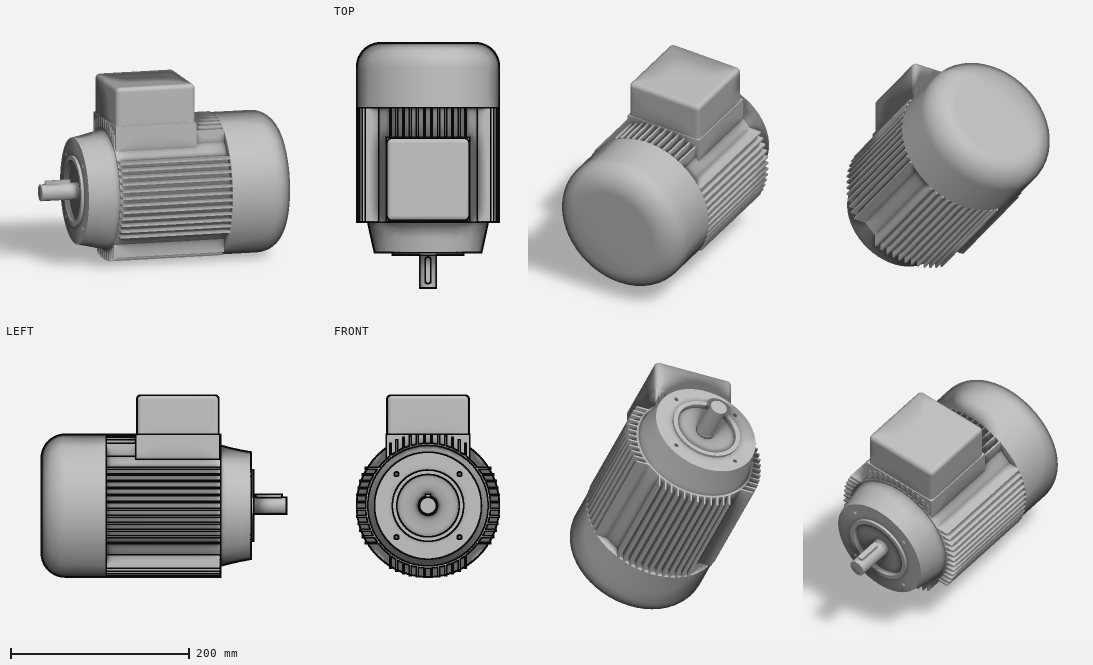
import cadquery as cq
import math


flange_radius = 60.0
bell_rear_radius = 67.5
bell_length = 34.0
bolt_count = 4
bolt_start_angle = 45.0
bolt_circle_radius = 50.0
bolt_hole_diameter = 5.0
bolt_hole_depth = 10.0

spigot_radius = 40.0
spigot_bore_radius = 35.0
spigot_height = 3.0
spigot_bore_depth = 6.0

shaft_radius = 9.5
shaft_length = 40.0
collar_radius = 10.0
collar_height = 3.0
clearance_radius = 10.75
clearance_depth = 5.0
key_width = 6.0
key_length = 30.0
key_tip_margin = 5.0
key_top = 13.0

core_radius = 70.0
body_length = 128.0
fin_tip_radius = 80.0
fin_thickness = 2.0
fin_pitch_angle = math.radians(5.75)
fins_per_half = 6

cowl_radius = fin_tip_radius
cowl_length = 73.0
cowl_round = 27.0

plinth_size = 94.0
plinth_setback = 1.0
plinth_top = fin_tip_radius
box_size = 92.0
box_height = 44.0
box_round = 5.0

body_front = bell_length
body_rear = body_front + body_length
cowl_rear = body_rear + cowl_length
box_center_y = body_front + plinth_setback + plinth_size / 2
recess_floor = spigot_bore_depth - spigot_height
shaft_root = recess_floor + clearance_depth


def cylinder(radius, y_start, y_end):
    """Cylinder on the motor axis between two Y stations."""
    return cq.Workplane("XZ", origin=(0, y_start, 0)).circle(radius).extrude(y_start - y_end)


def end_bell():
    """Conical bell widening from the flange to the body."""
    return (
        cq.Workplane("XY")
        .lineTo(flange_radius, 0)
        .lineTo(bell_rear_radius, bell_length)
        .lineTo(0, bell_length)
        .close()
        .revolve(360, (0, 0, 0), (0, 1, 0))
    )


def flange_face(bell):
    """Add the spigot ring, then cut its bore, the shaft clearance and the bolt holes."""
    face = bell.union(cylinder(spigot_radius, -spigot_height, 0))
    face = face.cut(cylinder(spigot_bore_radius, -spigot_height, recess_floor))
    face = face.cut(cylinder(clearance_radius, recess_floor, shaft_root))
    holes = (
        cq.Workplane("XZ")
        .polarArray(bolt_circle_radius, bolt_start_angle, 360, bolt_count)
        .circle(bolt_hole_diameter / 2)
        .extrude(-bolt_hole_depth)
    )
    return face.cut(holes)


def shaft():
    """Shaft stepped up to a collar in the spigot bore, and a round-ended key on top."""
    key_center_y = -shaft_length + key_tip_margin + key_length / 2
    key = (
        cq.Workplane("XY", origin=(0, key_center_y, 0))
        .slot2D(key_length, key_width, 90)
        .extrude(key_top)
    )
    collar = cylinder(collar_radius, recess_floor - collar_height, shaft_root)
    return cylinder(shaft_radius, -shaft_length, shaft_root).union(collar).union(key)


def fin_slabs():
    """Parallel slabs running up and down through the body; both ends of each slab are fins."""
    slabs = cq.Workplane("XY")
    for index in range(fins_per_half):
        offset = fin_tip_radius * math.sin((index + 0.5) * fin_pitch_angle)
        tip = fin_tip_radius * math.cos(index * fin_pitch_angle)
        for x in (-offset, offset):
            slab = cq.Workplane("XY").box(fin_thickness, body_length, 2 * tip)
            slabs = slabs.union(slab.translate((x, body_front + body_length / 2, 0)))
    return slabs


def finned_body():
    """Round core with fins up, down, left and right."""
    upright = fin_slabs()
    sideways = upright.rotate((0, 0, 0), (0, 1, 0), 90)
    return cylinder(core_radius, body_front, body_rear).union(upright).union(sideways)


def fan_cowl():
    """Rear cowl with a large rounded back edge."""
    return cylinder(cowl_radius, body_rear, cowl_rear).faces(">Y").edges().fillet(cowl_round)


def terminal_box():
    """Square plinth rising from the core, carrying a box with rounded edges."""
    base = cq.Workplane("XY", origin=(0, box_center_y, 0))
    plinth = base.rect(plinth_size, plinth_size).extrude(plinth_top)
    box = base.workplane(offset=plinth_top).rect(box_size, box_size).extrude(box_height)
    box = box.edges("|Z").fillet(box_round).faces(">Z").edges().fillet(box_round)
    return plinth.union(box)


result = (
    flange_face(end_bell())
    .union(shaft())
    .union(finned_body())
    .union(fan_cowl())
    .union(terminal_box())
)